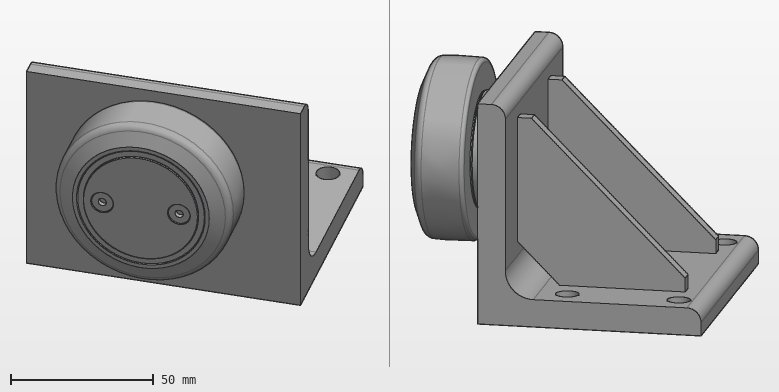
import cadquery as cq

width = 100.0
leg_length = 80.0
thickness = 10.0
toe_radius = 5.0
root_radius = 10.0

hole_diameter = 8.3
hole_edge_distance = 10.0
hole_pitch_y = 40.0

rib_thickness = 5.0
rib_spacing = 53.0
rib_setback = 10.0
rib_end_height = 5.0
rib_inner_corner = 15.1

roller_height = 49.9
neck_diameter = 42.0
chamfer_diameter = 41.5
chamfer_length = 0.4
neck_length = 8.3
roller_back = 8.8
roller_front = 29.0
crown_diameter = 65.0
tread_end_diameter = 64.6
back_radius = 1.5
front_radius = 3.1
tread_end = 23.9
cone_start = 26.7
cone_start_diameter = 60.3
face_diameter = 49.9
recess_diameter = 47.0
recess_floor_diameter = 46.2
recess_depth = 0.2
hub_front = 29.5

screw_spacing = 28.0
screw_seat_diameter = 8.3
screw_head_diameter = 7.8
screw_recess = 0.3
socket_diameter = 3.0
socket_depth = 2.2


def make_angle():
    """L-shaped section with rounded toes and a rounded inner root."""
    angle = (
        cq.Workplane("YZ")
        .polyline([
            (0, 0),
            (leg_length, 0),
            (leg_length, thickness),
            (thickness, thickness),
            (thickness, leg_length),
            (0, leg_length),
        ])
        .close()
        .extrude(width / 2, both=True)
    )
    nearest = cq.selectors.NearestToPointSelector
    angle = angle.edges(nearest((0, leg_length, thickness))).fillet(toe_radius)
    angle = angle.edges(nearest((0, thickness, leg_length))).fillet(toe_radius)
    return angle.edges(nearest((0, thickness, thickness))).fillet(root_radius)


def cut_mounting_holes(body):
    """Four through holes in the base leg."""
    hole_x = width / 2 - hole_edge_distance
    rear_y = leg_length - hole_edge_distance
    points = [(x, y) for x in (-hole_x, hole_x) for y in (rear_y - hole_pitch_y, rear_y)]
    holes = cq.Workplane("XY").pushPoints(points).circle(hole_diameter / 2).extrude(thickness)
    return body.cut(holes)


def make_rib(center_x):
    """Diagonal gusset with its inner corner cut clear of the root radius."""
    far = leg_length - rib_setback
    near = thickness + rib_end_height
    corner = thickness + rib_inner_corner
    return (
        cq.Workplane("YZ", origin=(center_x, 0, 0))
        .polyline([
            (corner, thickness),
            (far, thickness),
            (far, near),
            (near, far),
            (thickness, far),
            (thickness, corner),
        ])
        .close()
        .extrude(rib_thickness / 2, both=True)
    )


def make_roller():
    """Neck, crowned roller and raised hub, turned about an axis parallel to Y."""
    tread_radius = tread_end_diameter / 2
    tread_start = roller_back + back_radius
    recess_floor = roller_front - recess_depth
    return (
        cq.Workplane("XY")
        .moveTo(0, 0)
        .lineTo(chamfer_diameter / 2, 0)
        .lineTo(neck_diameter / 2, -chamfer_length)
        .lineTo(neck_diameter / 2, -(neck_length - chamfer_length))
        .lineTo(chamfer_diameter / 2, -neck_length)
        .lineTo(chamfer_diameter / 2, -roller_back)
        .lineTo(tread_radius - back_radius, -roller_back)
        .radiusArc((tread_radius, -tread_start), back_radius)
        .threePointArc(
            (crown_diameter / 2, -(tread_start + tread_end) / 2),
            (tread_radius, -tread_end),
        )
        .radiusArc((cone_start_diameter / 2, -cone_start), front_radius)
        .lineTo(face_diameter / 2, -roller_front)
        .lineTo(recess_diameter / 2, -roller_front)
        .lineTo(recess_floor_diameter / 2, -recess_floor)
        .lineTo(neck_diameter / 2, -recess_floor)
        .lineTo(neck_diameter / 2, -(hub_front - chamfer_length))
        .lineTo(chamfer_diameter / 2, -hub_front)
        .lineTo(0, -hub_front)
        .close()
        .revolve(360, (0, 0, 0), (0, 1, 0))
        .translate((0, 0, roller_height))
    )


def make_screw_recess(center_x):
    """Tapered seat over a screw head, with the round socket below it."""
    face = cq.Workplane("XZ", origin=(center_x, -hub_front, roller_height))
    seat = (
        face.circle(screw_seat_diameter / 2)
        .workplane(offset=-screw_recess)
        .circle(screw_head_diameter / 2)
        .loft(ruled=True)
    )
    socket = face.circle(socket_diameter / 2).extrude(-socket_depth)
    return seat.union(socket)


result = cut_mounting_holes(make_angle()).union(make_roller())
for side in (-1, 1):
    result = result.union(make_rib(side * rib_spacing / 2))
    result = result.cut(make_screw_recess(side * screw_spacing / 2))